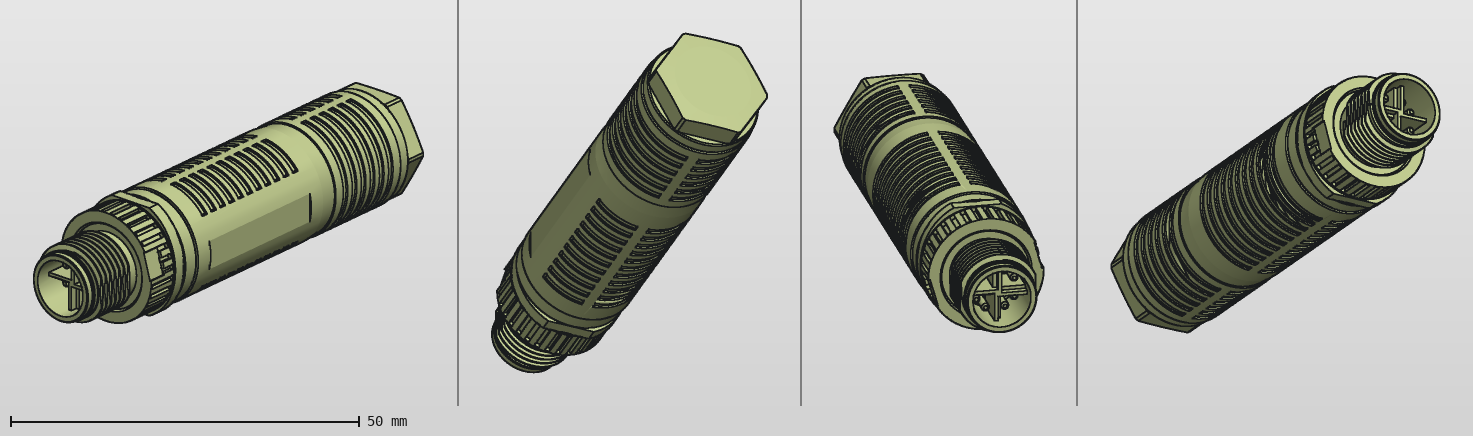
import cadquery as cq
import math


length = 70.5
body_dia = 17.6

bore_dia = 8.5
bore_depth = 8.45
rim_dia = 10.3
rim_end = 1.05
rim_chamfer = 0.15
ring_groove_dia = 9.6
ring_start = 1.2
ring_end = 1.5
neck_dia = 8.95
neck_end = 2.1

shank_dia = 10.6
thread_dia = 12
thread_length = 7.0
thread_turns = 7
thread_pitch = thread_length / thread_turns
thread_start = 2.2
thread_root_width = 0.8
thread_crest_width = 0.2
thread_overlap = 0.15
thread_flat_spacing = 11.0

nut_front = 10.15
nut_back = 15.2
nut_dia = 17.0
nut_bore_dia = 13.0
nut_mouth_dia = 13.5
nut_mouth_depth = 0.3
nut_bore_depth = 0.5
groove_count = 32
groove_width = 0.7
groove_floor_dia = 15.7
groove_lip = 0.3
pad_length = 2.9
pad_width = 4.2
pad_distance = 7.95
pad_angle = 16

collar_front = 15.5
collar_back = 17.4
collar_width = 17.0
collar_bulge = 18.6
collar_flat_spacing = 16.9
relief_dia = 16.7

sleeve_dia = 17.2
sleeve_front = 17.6
sleeve_back = 19.95
grip_front = 20.15
grip_back = 47.7
waist_dia = 17.1
waist_back = 50.5
rear_grip_back = 64.8
end_ring_front = 65.05
end_ring_back = 66.9
end_ring_chamfer = 0.2

slot_width = 1.0
slot_floor_dia = 17.0
slot_web = 1.7
front_slot_count = 11
front_slot_start = 23.9
front_slot_last = 43.9
slot_pitch = (front_slot_last - front_slot_start) / (front_slot_count - 1)
rear_slot_count = 6
rear_slot_start = 52.65
plain_side_width = 11.0

panel_start = 22.9
panel_end = 45.1
panel_x = 8.5

hex_across_flats = 15.15
hex_end_dia = 11.85
hex_end_slope = 0.4

pin_dia = 1.1
pin_tip_dia = 0.6
pin_tip_y = 4.2
pin_tip_length = 0.3
pin_circle_dia = 6.3
pin_angle = 27
cross_width = 1.05
cross_front = 2.5
cross_step = 1.05


def ring_plane(y):
    """Plane across the axis at y, local x along -X, local y along Z, extruding toward +Y."""
    plane = cq.Plane(origin=(0, y, 0), xDir=(-1, 0, 0), normal=(0, 1, 0))
    return cq.Workplane(plane)


def cylinder(dia, start, end):
    """Solid cylinder on the Y axis from y = start to y = end."""
    return ring_plane(start).circle(dia / 2).extrude(end - start)


def box(x_min, x_max, y_min, y_max, z_min, z_max):
    """Box given by its limits on each axis."""
    size = (x_max - x_min, y_max - y_min, z_max - z_min)
    return cq.Workplane("XY").box(*size, centered=False).translate((x_min, y_min, z_min))


def stage_points(stages):
    """Outline points (radius, y) of round stages given as (diameter, start, end)."""
    points = []
    for dia, start, end in stages:
        points.append((dia / 2, start))
        points.append((dia / 2, end))
    return points


def make_core():
    """All the plain round stages as one revolved outline of (radius, y)."""
    nose_stages = [
        (rim_dia, 0, rim_end),
        (ring_groove_dia, rim_end, ring_start),
        (shank_dia, ring_start, ring_end),
        (neck_dia, ring_end, neck_end),
        (shank_dia, neck_end, nut_front + nut_bore_depth),
    ]
    nut_mouth = [
        (nut_bore_dia / 2, nut_front + nut_bore_depth),
        (nut_bore_dia / 2, nut_front + nut_mouth_depth),
        (nut_mouth_dia / 2, nut_front),
    ]
    body_stages = [
        (nut_dia, nut_front, nut_back),
        (relief_dia, nut_back, sleeve_front),
        (sleeve_dia, sleeve_front, sleeve_back),
        (relief_dia, sleeve_back, grip_front),
        (body_dia, grip_front, grip_back),
    ]
    rear_outline = [
        (waist_dia / 2, waist_back),
        (body_dia / 2, waist_back),
        (body_dia / 2, rear_grip_back),
        (relief_dia / 2, rear_grip_back),
        (relief_dia / 2, end_ring_front),
        (sleeve_dia / 2, end_ring_front),
        (sleeve_dia / 2, end_ring_back - end_ring_chamfer),
        (sleeve_dia / 2 - end_ring_chamfer, end_ring_back),
        (0, end_ring_back),
    ]
    outline = [(0, 0)] + stage_points(nose_stages) + nut_mouth
    outline += stage_points(body_stages) + rear_outline
    core = cq.Workplane("XY").polyline(outline).close().revolve(360, (0, 0), (0, 1))
    return core.faces("<Y").edges().chamfer(rim_chamfer)


def make_hexagon():
    """Wrench hexagon with its corners turned down and a coned end."""
    corner_dia = hex_across_flats / math.cos(math.pi / 6)
    prism = ring_plane(end_ring_back).polygon(6, corner_dia).extrude(length - end_ring_back)
    turned_outline = [
        (0, end_ring_back),
        (sleeve_dia / 2, end_ring_back),
        (sleeve_dia / 2, length - hex_end_slope),
        (hex_end_dia / 2, length),
        (0, length),
    ]
    turned = cq.Workplane("XY").polyline(turned_outline).close().revolve(360, (0, 0), (0, 1))
    return prism.intersect(turned)


def make_collar():
    """Slightly oval collar with a flat on its top and bottom."""
    depth = collar_back - collar_front
    oval = ring_plane(collar_front).ellipse(collar_width / 2, collar_bulge / 2).extrude(depth)
    flats = ring_plane(collar_front).rect(2 * body_dia, collar_flat_spacing).extrude(depth)
    return oval.intersect(flats)


def make_thread():
    """Right-hand helical ridge around the shank."""
    root_radius = shank_dia / 2 - thread_overlap
    helix = cq.Wire.makeHelix(thread_pitch, thread_length, root_radius)
    ridge = (
        cq.Workplane("XZ")
        .moveTo(root_radius, -thread_root_width / 2)
        .lineTo(thread_dia / 2, -thread_crest_width / 2)
        .lineTo(thread_dia / 2, thread_crest_width / 2)
        .lineTo(root_radius, thread_root_width / 2)
        .close()
        .sweep(cq.Workplane(helix), isFrenet=True)
    )
    ridge = ridge.rotate((0, 0, 0), (1, 0, 0), -90).rotate((0, 0, 0), (0, 1, 0), 180)
    ridge = ridge.translate((0, thread_start, 0))
    flats = box(
        -thread_flat_spacing / 2, thread_flat_spacing / 2, 0, length, -thread_dia, thread_dia
    )
    return ridge.intersect(flats)


def cut_nut(part):
    """Knurl grooves and two opposite smooth pads of the nut."""
    groove_length = nut_back - nut_front - 2 * groove_lip
    grooves = (
        ring_plane(nut_front + groove_lip)
        .polarArray(nut_dia / 2, 180 / groove_count, 360, groove_count)
        .rect(nut_dia - groove_floor_dia, groove_width)
        .extrude(groove_length)
    )
    pad_back = nut_front + pad_length
    pad_zone = box(0, nut_dia, nut_front, pad_back, -pad_width / 2, pad_width / 2)
    pad_core = box(0, pad_distance, nut_front, pad_back, -pad_width / 2, pad_width / 2)
    for turn in (-pad_angle, 180 - pad_angle):
        grooves = grooves.cut(pad_zone.rotate((0, 0, 0), (0, 1, 0), turn))
        part = part.cut(pad_zone.cut(pad_core).rotate((0, 0, 0), (0, 1, 0), turn))
    return part.cut(grooves)


def make_slots(start, count):
    """Row of shallow ring slots, the first centred at y = start, broken by webs at the top and bottom."""
    web = box(-slot_web / 2, slot_web / 2, 0, length, -body_dia, body_dia)
    slots = cq.Workplane("XY")
    for index in range(count):
        centre = start + index * slot_pitch
        slot = (
            ring_plane(centre - slot_width / 2)
            .circle(body_dia)
            .circle(slot_floor_dia / 2)
            .extrude(slot_width)
        )
        slots.add(slot.cut(web))
    return slots.combine()


def make_shield_cross():
    """Shield cross: a full-width cross with a narrower pinwheel standing forward of it."""
    half = cross_width / 2
    reach = bore_dia / 2
    step_y = cross_front + cross_step
    cross = box(-half, half, step_y, bore_depth, -reach, reach)
    cross = cross.union(box(-reach, reach, step_y, bore_depth, -half, half))
    for turn in range(0, 360, 90):
        blade = box(0, half, cross_front, bore_depth, 0, reach)
        cross = cross.union(blade.rotate((0, 0, 0), (0, 1, 0), turn))
    return cross.intersect(cylinder(bore_dia, 0, bore_depth))


def make_pin(angle):
    """Contact pin with a coned tip, at an angle around the axis."""
    outline = [
        (0, pin_tip_y),
        (pin_tip_dia / 2, pin_tip_y),
        (pin_dia / 2, pin_tip_y + pin_tip_length),
        (pin_dia / 2, bore_depth),
        (0, bore_depth),
    ]
    pin = cq.Workplane("XY").polyline(outline).close().revolve(360, (0, 0), (0, 1))
    x = pin_circle_dia / 2 * math.cos(math.radians(angle))
    z = pin_circle_dia / 2 * math.sin(math.radians(angle))
    return pin.translate((x, 0, z))


result = make_core().union(make_collar()).union(make_hexagon())
result = cut_nut(result)
result = result.union(make_thread())

plain_side = box(0, 2 * body_dia, 0, length, -plain_side_width / 2, plain_side_width / 2)
front_slots = make_slots(front_slot_start, front_slot_count).cut(plain_side)
rear_slots = make_slots(rear_slot_start, rear_slot_count)
result = result.cut(front_slots).cut(rear_slots)
result = result.cut(box(panel_x, body_dia, panel_start, panel_end, -body_dia, body_dia))

result = result.cut(cylinder(bore_dia, 0, bore_depth))
result = result.union(make_shield_cross())
for quadrant in range(0, 360, 90):
    result = result.union(make_pin(quadrant + pin_angle))
    result = result.union(make_pin(quadrant + 90 - pin_angle))